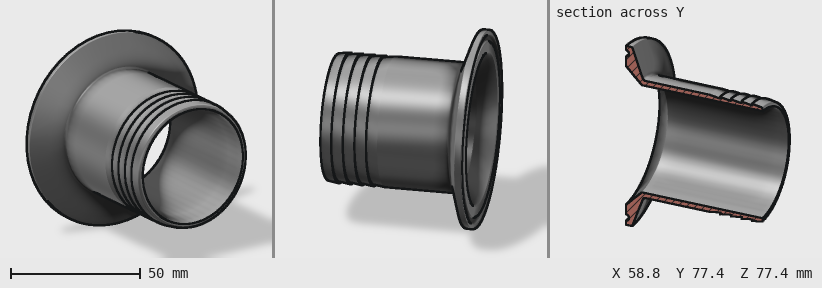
import cadquery as cq
import math

length = 58.75
flange_diameter = 77.4
tube_diameter = 50.8
bore_diameter = 46.05

flange_rim_width = 2.9
flange_back_angle = math.radians(20)
rim_fillet = 0.5
neck_fillet = 1.1

mouth_radius = 30.0
mouth_depth = 7.0
mouth_fillet = 0.4

groove_center_radius = 35.45
groove_half_width = 1.85
groove_wall_angle = math.radians(60)
groove_bottom_fillet = 1.2
groove_lip_fillet = 0.6

barb_count = 5
barb_pitch = 4.6
barb_drop = 0.7
tip_fillet = 0.9

flange_radius = flange_diameter / 2
tube_radius = tube_diameter / 2
bore_radius = bore_diameter / 2
barbs_start = length - barb_count * barb_pitch
neck_x = flange_rim_width + (flange_radius - tube_radius) * math.tan(flange_back_angle)


def revolve_about_x(profile):
    """Revolve a closed (x, radius) profile around the X axis."""
    return profile.close().revolve(360, (0, 0, 0), (1, 0, 0))


def circle_edges_at(body, x, radius):
    """Select the circular edges centred on the X axis at one place and radius."""
    margin = 0.01
    axis_box = cq.selectors.BoxSelector((x - margin, -margin, -margin), (x + margin, margin, margin))
    circles = body.edges("%CIRCLE").edges(axis_box).vals()
    edges = [circle for circle in circles if abs(circle.radius() - radius) < margin]
    return body.newObject(edges)


def make_outer_body():
    """Flange, tube and saw-tooth barbs as one solid of revolution."""
    profile = (
        cq.Workplane("XY")
        .moveTo(0, 0)
        .lineTo(0, flange_radius)
        .lineTo(flange_rim_width, flange_radius)
        .lineTo(neck_x, tube_radius)
        .lineTo(barbs_start, tube_radius)
    )
    for barb in range(1, barb_count + 1):
        barb_end = barbs_start + barb * barb_pitch
        profile = profile.lineTo(barb_end, tube_radius - barb_drop)
        if barb < barb_count:
            profile = profile.lineTo(barb_end, tube_radius)
    return revolve_about_x(profile.lineTo(length, 0))


def make_bore():
    """Straight bore with its conical mouth."""
    profile = (
        cq.Workplane("XY")
        .moveTo(0, 0)
        .lineTo(0, mouth_radius)
        .lineTo(mouth_depth, bore_radius)
        .lineTo(length, bore_radius)
        .lineTo(length, 0)
    )
    return revolve_about_x(profile)


def make_groove():
    """Ring with sloped walls, a round bottom and rounded lips, sunk into the flange face."""
    wall_top_x = groove_lip_fillet * (1 - math.cos(groove_wall_angle))
    wall_top_offset = groove_half_width - groove_lip_fillet * math.sin(groove_wall_angle)
    wall_foot_offset = groove_bottom_fillet * math.sin(groove_wall_angle)
    wall_foot_x = wall_top_x + (wall_top_offset - wall_foot_offset) * math.tan(groove_wall_angle)

    def point(x, offset):
        return (x, groove_center_radius + offset)

    profile = (
        cq.Workplane("XY")
        .moveTo(*point(0, -groove_half_width))
        .radiusArc(point(wall_top_x, -wall_top_offset), groove_lip_fillet)
        .lineTo(*point(wall_foot_x, -wall_foot_offset))
        .radiusArc(point(wall_foot_x, wall_foot_offset), -groove_bottom_fillet)
        .lineTo(*point(wall_top_x, wall_top_offset))
        .radiusArc(point(0, groove_half_width), groove_lip_fillet)
    )
    return revolve_about_x(profile)


body = make_outer_body()
body = circle_edges_at(body, 0, flange_radius).fillet(rim_fillet)
body = circle_edges_at(body, flange_rim_width, flange_radius).fillet(rim_fillet)
body = circle_edges_at(body, neck_x, tube_radius).fillet(neck_fillet)
body = circle_edges_at(body, length, tube_radius - barb_drop).fillet(tip_fillet)
body = body.cut(make_bore())
body = circle_edges_at(body, 0, mouth_radius).fillet(mouth_fillet)
body = circle_edges_at(body, mouth_depth, bore_radius).fillet(mouth_fillet)

result = body.cut(make_groove())